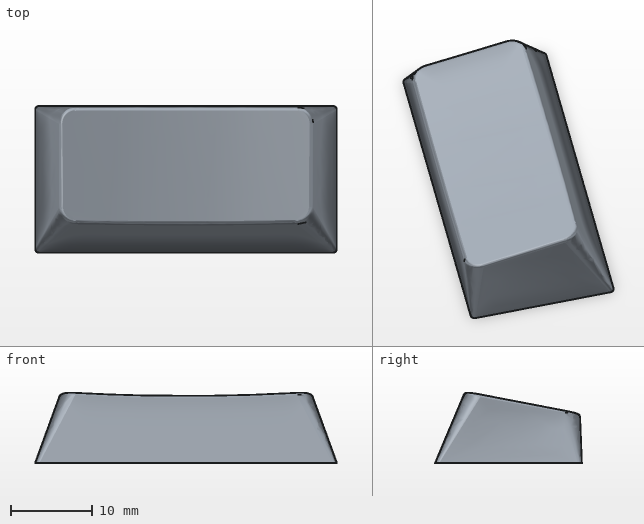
import cadquery as cq
import math

base_width = 37.15
base_depth = 18.1
base_corner_radius = 0.52

crown_width = 30.9
crown_front_y = -5.28
crown_back_y = 8.8
crown_front_height = 8.95
crown_corner_radius = 2.1
crown_tilt = 10.9

dish_radius = 232.2
dish_depth = 0.65

rim_fillet = 0.5

tilt = math.radians(crown_tilt)
crown_length = (crown_back_y - crown_front_y) / math.cos(tilt)
crown_center_y = (crown_front_y + crown_back_y) / 2
crown_center_z = crown_front_height - crown_length / 2 * math.sin(tilt)
crown_plane = cq.Plane(
    origin=(0, crown_center_y, crown_center_z),
    xDir=(1, 0, 0),
    normal=(0, math.sin(tilt), math.cos(tilt)),
)

def rounded_outline(width, depth, radius):
    """Rectangle with rounded corners, centred on its own origin."""
    return cq.Sketch().rect(width, depth).vertices().fillet(radius)

def tapered_body():
    """Straight-ruled walls from the base outline up to the tilted crown."""
    base = rounded_outline(base_width, base_depth, base_corner_radius)
    crown = rounded_outline(crown_width, crown_length, crown_corner_radius)
    return cq.Workplane().placeSketch(base, crown.moved(cq.Location(crown_plane))).loft(ruled=True)

def dish_cutter():
    """Large cylinder along the fall of the crown, its lowest line dish_depth below the crown plane."""
    half_length = base_depth
    return (
        cq.Workplane(crown_plane)
        .transformed(rotate=(90, 0, 0))
        .center(0, dish_radius - dish_depth)
        .circle(dish_radius)
        .extrude(half_length, both=True)
    )

dished_body = tapered_body().cut(dish_cutter())

result = dished_body.faces("%CYLINDER").edges().fillet(rim_fillet)